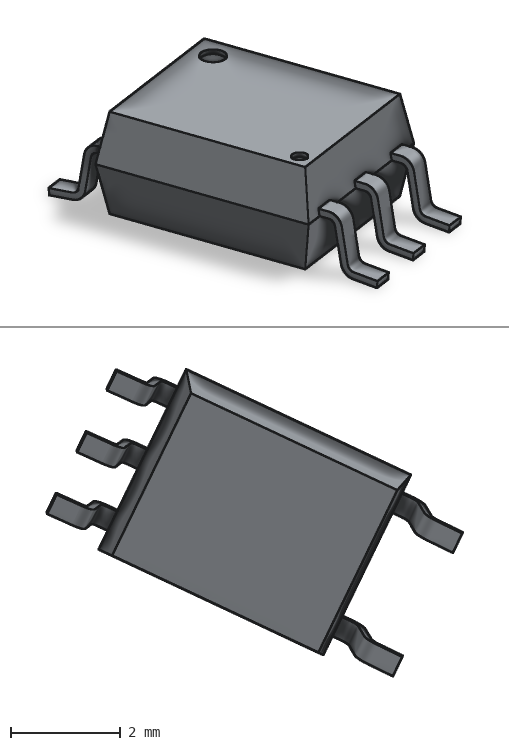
import cadquery as cq
import math

BODY_LENGTH = 4.535
BODY_WIDTH = 3.7
BODY_BOTTOM = 0.09
PARTING_HEIGHT = 1.15
BODY_TOP = 2.2
DRAFT_ANGLE = 10.0

LARGE_DIMPLE = (-1.595, 1.17, 0.25)
SMALL_DIMPLE = (1.78, -1.36, 0.155)
DIMPLE_DEPTH = 0.1

LEAD_SPAN = 7.0
LEAD_THICKNESS = 0.15
LEAD_WIDTH = 0.4
LEAD_PITCH = 1.27
SHOULDER_REACH = 0.8
TOE_ANGLE = 5.0
LEG_ANGLE = 80.5
SHOULDER_ANGLE = 0.0
SHOULDER_INNER_RADIUS = 0.15
FOOT_INNER_RADIUS = 0.15
LEFT_LEAD_ROWS = (-1, 1)
RIGHT_LEAD_ROWS = (-1, 0, 1)


def tapered_half(height):
    """Half of the package, growing from the parting plane up (+) or down (-)."""
    plane = cq.Workplane("XY").workplane(offset=PARTING_HEIGHT)
    return plane.rect(BODY_LENGTH, BODY_WIDTH).extrude(height, taper=DRAFT_ANGLE)


def dimple(x, y, radius):
    """Cutter for a round recess in the top face."""
    floor = cq.Workplane("XY").workplane(offset=BODY_TOP - DIMPLE_DEPTH)
    return floor.center(x, y).circle(radius).extrude(DIMPLE_DEPTH)


def make_body():
    upper = tapered_half(BODY_TOP - PARTING_HEIGHT)
    lower = tapered_half(BODY_BOTTOM - PARTING_HEIGHT)
    body = upper.union(lower)
    return body.cut(dimple(*LARGE_DIMPLE)).cut(dimple(*SMALL_DIMPLE))


def point_below(point, angle_before, angle_after):
    """Corner of the lower lead face opposite a corner of the upper face (mitred)."""
    middle = math.radians((angle_before + angle_after) / 2)
    half_turn = math.radians((angle_after - angle_before) / 2)
    distance = LEAD_THICKNESS / math.cos(half_turn)
    return (point[0] + distance * math.sin(middle), point[1] - distance * math.cos(middle))


def make_left_lead(y):
    """Lead on the -X side: toe, leg and shoulder, ending flush on the package face."""
    toe_slope = math.tan(math.radians(TOE_ANGLE))
    leg_slope = math.tan(math.radians(LEG_ANGLE))

    tip = (-LEAD_SPAN / 2, LEAD_THICKNESS * math.cos(math.radians(TOE_ANGLE)))
    shoulder = (tip[0] + SHOULDER_REACH, PARTING_HEIGHT + LEAD_THICKNESS)
    rise = shoulder[1] - tip[1]
    toe_length = (leg_slope * SHOULDER_REACH - rise) / (leg_slope - toe_slope)
    foot = (tip[0] + toe_length, tip[1] + toe_length * toe_slope)

    tip_below = point_below(tip, TOE_ANGLE, TOE_ANGLE)
    foot_below = point_below(foot, TOE_ANGLE, LEG_ANGLE)
    shoulder_below = point_below(shoulder, LEG_ANGLE, SHOULDER_ANGLE)

    end_below = (-BODY_LENGTH / 2, PARTING_HEIGHT)
    end_draft = LEAD_THICKNESS * math.tan(math.radians(DRAFT_ANGLE))
    end = (end_below[0] + end_draft, shoulder[1])

    outline = [tip, foot, shoulder, end, end_below, shoulder_below, foot_below, tip_below]
    plane = cq.Workplane("XZ", origin=(0, y, 0))
    lead = plane.polyline(outline).close().extrude(LEAD_WIDTH / 2, both=True)

    bends = (
        (foot, FOOT_INNER_RADIUS),
        (foot_below, FOOT_INNER_RADIUS + LEAD_THICKNESS),
        (shoulder, SHOULDER_INNER_RADIUS + LEAD_THICKNESS),
        (shoulder_below, SHOULDER_INNER_RADIUS),
    )
    for (x, z), radius in bends:
        corner = cq.selectors.NearestToPointSelector((x, y, z))
        lead = lead.edges(corner).fillet(radius)
    return lead


def make_right_lead(y):
    """Mirror image of the left lead, on the +X side."""
    return make_left_lead(y).mirror("YZ")


body = make_body()

leads = []
for row in LEFT_LEAD_ROWS:
    leads.append(make_left_lead(row * LEAD_PITCH).val())
for row in RIGHT_LEAD_ROWS:
    leads.append(make_right_lead(row * LEAD_PITCH).val())

result = cq.Compound.makeCompound([body.val(), *leads])